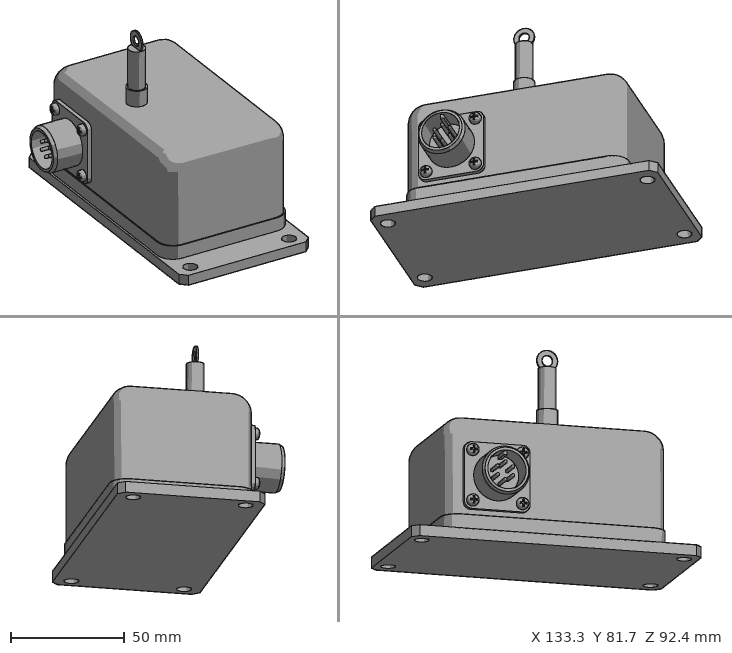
import cadquery as cq

PLATE_LENGTH = 133.35
PLATE_WIDTH = 66.675
PLATE_THICKNESS = 4.95
PLATE_CORNER_CHAMFER = 3.05
MOUNT_HOLE_DIAMETER = 6.53
MOUNT_HOLE_SPACING_X = 120.65
MOUNT_HOLE_SPACING_Y = 50.8

COVER_LENGTH = 102.0
COVER_WIDTH = 63.5
COVER_TOP_Z = 57.2
COVER_CORNER_RADIUS = 7.92
COVER_TOP_RADIUS = 9.14
SKIRT_OVERHANG = 0.5
SKIRT_HEIGHT = 6.6
SKIRT_TOP_Z = PLATE_THICKNESS + SKIRT_HEIGHT

OUTLET_Y = -16.51
COLLAR_DIAMETER = 9.53
COLLAR_TOP_Z = 65.0
SLEEVE_DIAMETER = 7.92
SLEEVE_TOP_Z = 84.15
EYELET_TOP_Z = 92.37
EYELET_DIAMETER = 9.53
EYELET_HOLE_DIAMETER = 4.83
EYELET_THICKNESS = 0.81

CONNECTOR_X = -28.15
CONNECTOR_Z = 29.05
COVER_FACE_Y = -COVER_WIDTH / 2
OVERALL_WIDTH = 81.66
CONNECTOR_END_Y = PLATE_WIDTH / 2 - OVERALL_WIDTH
FLANGE_SIZE = 30.2
FLANGE_THICKNESS = 2.03
FLANGE_CORNER_RADIUS = 3.4
FLANGE_FACE_Y = COVER_FACE_Y - FLANGE_THICKNESS
SHELL_DIAMETER = 21.74
SHELL_BORE_DIAMETER = 17.53
SHELL_BORE_DEPTH = 11.0
SHELL_CHAMFER_LENGTH = 1.65
SHELL_CHAMFER_INSET = 0.86
KEY_WIDTH = 1.55
KEY_NOSE_RADIUS = 0.75
KEY_HEIGHT = 1.75
PIN_COUNT = 6
PIN_DIAMETER = 1.55
PIN_CIRCLE_RADIUS = 4.0
FIRST_PIN_ANGLE = 90
PIN_RECESS = 1.5
PIN_TIP_RADIUS = 0.75

SCREW_SPACING = 22.86
SCREW_HEAD_DIAMETER = 5.38
SCREW_HEAD_HEIGHT = 2.45
SCREW_HEAD_ROUND = 1.5
CROSS_SPAN = 3.2
CROSS_WIDTH = 0.75
CROSS_DEPTH = 1.0

OVERLAP = 1.0


def facing_front(x, y, z):
    """Workplane at the given point whose normal points toward -Y (local Y is up)."""
    return cq.Workplane(cq.Plane(origin=(x, y, z), xDir=(1, 0, 0), normal=(0, -1, 0)))


def level(z, y=0):
    """Horizontal workplane at height z."""
    return cq.Workplane("XY", origin=(0, y, z))


def make_plate():
    plate = level(0).rect(PLATE_LENGTH, PLATE_WIDTH).extrude(PLATE_THICKNESS)
    plate = plate.edges("|Z").chamfer(PLATE_CORNER_CHAMFER)
    holes = (
        level(0)
        .rect(MOUNT_HOLE_SPACING_X, MOUNT_HOLE_SPACING_Y, forConstruction=True)
        .vertices()
        .circle(MOUNT_HOLE_DIAMETER / 2)
        .extrude(PLATE_THICKNESS)
    )
    return plate.cut(holes)


def make_cover():
    skirt_length = COVER_LENGTH + 2 * SKIRT_OVERHANG
    skirt_width = COVER_WIDTH + 2 * SKIRT_OVERHANG
    skirt = level(PLATE_THICKNESS).rect(skirt_length, skirt_width).extrude(SKIRT_HEIGHT)
    skirt = skirt.edges("|Z").fillet(COVER_CORNER_RADIUS)

    cover = level(SKIRT_TOP_Z).rect(COVER_LENGTH, COVER_WIDTH).extrude(COVER_TOP_Z - SKIRT_TOP_Z)
    cover = cover.edges("|Z").fillet(COVER_CORNER_RADIUS)
    cover = cover.faces(">Z").edges().fillet(COVER_TOP_RADIUS)
    return skirt.union(cover)


def make_outlet():
    collar_base_z = COVER_TOP_Z - OVERLAP
    collar = (
        level(collar_base_z, OUTLET_Y).circle(COLLAR_DIAMETER / 2).extrude(COLLAR_TOP_Z - collar_base_z)
    )
    sleeve = (
        level(collar_base_z, OUTLET_Y).circle(SLEEVE_DIAMETER / 2).extrude(SLEEVE_TOP_Z - collar_base_z)
    )
    eyelet_z = EYELET_TOP_Z - EYELET_DIAMETER / 2
    eyelet_plane = facing_front(0, OUTLET_Y, eyelet_z)
    eyelet = (
        eyelet_plane.circle(EYELET_DIAMETER / 2)
        .circle(EYELET_HOLE_DIAMETER / 2)
        .extrude(EYELET_THICKNESS / 2, both=True)
    )
    return collar.union(sleeve).union(eyelet)


def make_flange():
    flange = (
        facing_front(CONNECTOR_X, COVER_FACE_Y + OVERLAP, CONNECTOR_Z)
        .rect(FLANGE_SIZE, FLANGE_SIZE)
        .extrude(FLANGE_THICKNESS + OVERLAP)
    )
    return flange.edges("|Y").fillet(FLANGE_CORNER_RADIUS)


def make_shell():
    start_y = FLANGE_FACE_Y + OVERLAP
    shell = (
        facing_front(CONNECTOR_X, start_y, CONNECTOR_Z)
        .circle(SHELL_DIAMETER / 2)
        .extrude(start_y - CONNECTOR_END_Y)
        .faces("<Y")
        .chamfer(SHELL_CHAMFER_LENGTH, SHELL_CHAMFER_INSET)
    )
    floor_y = CONNECTOR_END_Y + SHELL_BORE_DEPTH
    floor = facing_front(CONNECTOR_X, floor_y, CONNECTOR_Z)
    shell = shell.cut(floor.circle(SHELL_BORE_DIAMETER / 2).extrude(SHELL_BORE_DEPTH))

    inner_length = SHELL_BORE_DEPTH + OVERLAP - PIN_RECESS
    pin_plane = facing_front(CONNECTOR_X, floor_y + OVERLAP, CONNECTOR_Z)
    pins = (
        pin_plane.polarArray(PIN_CIRCLE_RADIUS, FIRST_PIN_ANGLE, 360, PIN_COUNT)
        .circle(PIN_DIAMETER / 2)
        .extrude(inner_length)
        .faces("<Y")
        .edges()
        .fillet(PIN_TIP_RADIUS)
    )

    key_z = CONNECTOR_Z + SHELL_BORE_DIAMETER / 2 - KEY_HEIGHT / 2
    key = (
        facing_front(CONNECTOR_X, floor_y + OVERLAP, key_z)
        .rect(KEY_WIDTH, KEY_HEIGHT)
        .extrude(inner_length)
        .faces("<Y")
        .edges("|Z")
        .fillet(KEY_NOSE_RADIUS)
    )
    return shell.union(pins).union(key)


def make_screw_head(x, z):
    head = (
        facing_front(x, FLANGE_FACE_Y + OVERLAP, z)
        .circle(SCREW_HEAD_DIAMETER / 2)
        .extrude(SCREW_HEAD_HEIGHT + OVERLAP)
        .faces("<Y")
        .edges()
        .fillet(SCREW_HEAD_ROUND)
    )
    cross_floor = facing_front(x, FLANGE_FACE_Y - SCREW_HEAD_HEIGHT + CROSS_DEPTH, z)
    across = cross_floor.rect(CROSS_SPAN, CROSS_WIDTH).extrude(CROSS_DEPTH)
    upright = cross_floor.rect(CROSS_WIDTH, CROSS_SPAN).extrude(CROSS_DEPTH)
    return head.cut(across).cut(upright)


result = make_plate().union(make_cover()).union(make_outlet())
result = result.union(make_flange()).union(make_shell())
for side_x in (-1, 1):
    for side_z in (-1, 1):
        screw_x = CONNECTOR_X + side_x * SCREW_SPACING / 2
        screw_z = CONNECTOR_Z + side_z * SCREW_SPACING / 2
        result = result.union(make_screw_head(screw_x, screw_z))